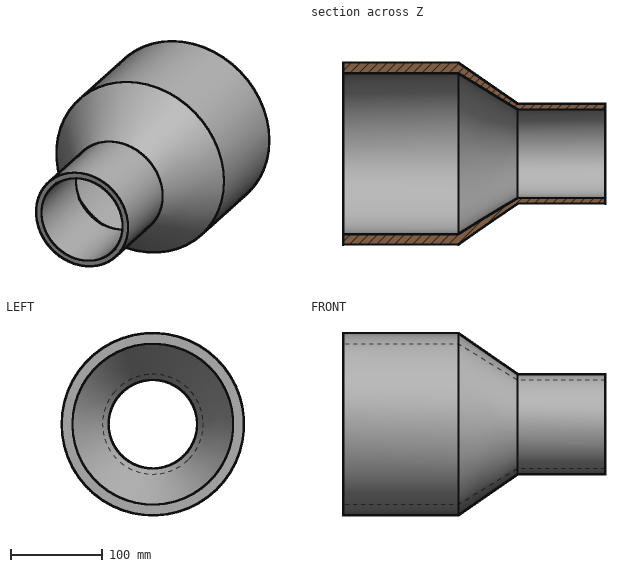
import cadquery as cq

total_length = 287.0
large_length = 126.0
small_length = 96.0
large_outer_diameter = 200.0
large_bore_diameter = 176.2
small_outer_diameter = 110.0
small_bore_diameter = 96.7

cone_start = large_length
cone_end = total_length - small_length


def stepped_cone(large_diameter, small_diameter):
    """Solid of revolution: large cylinder, conical transition, small cylinder."""
    large_radius = large_diameter / 2
    small_radius = small_diameter / 2
    return (
        cq.Workplane("XY")
        .moveTo(0, 0)
        .lineTo(0, large_radius)
        .lineTo(cone_start, large_radius)
        .lineTo(cone_end, small_radius)
        .lineTo(total_length, small_radius)
        .lineTo(total_length, 0)
        .close()
        .revolve(360, (0, 0, 0), (1, 0, 0))
    )


body = stepped_cone(large_outer_diameter, small_outer_diameter)
bore = stepped_cone(large_bore_diameter, small_bore_diameter)
result = body.cut(bore)